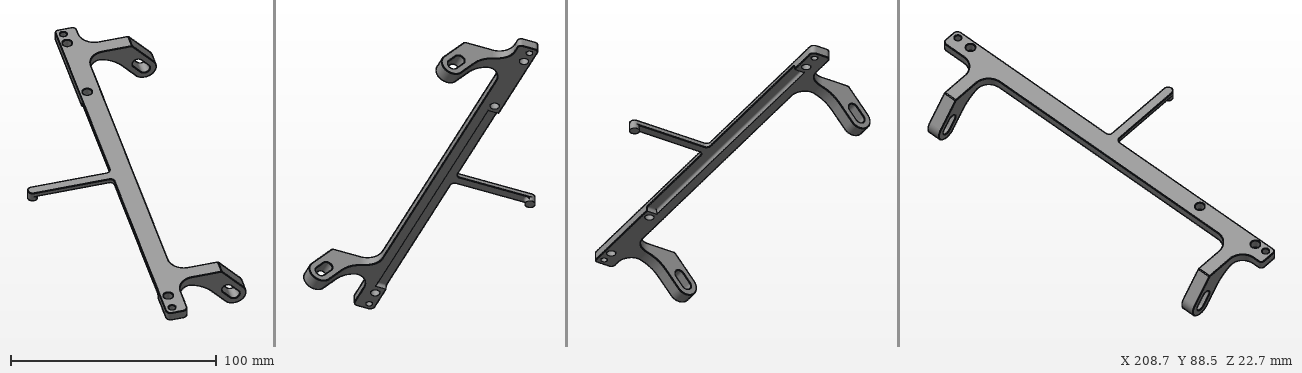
import cadquery as cq
import math

BAR_LENGTH = 208.7
BAR_DEPTH = 10.7
THICKNESS = 5.0
LEFT_CORNER_RADIUS = 2.0
RIGHT_CORNER_RADIUS = 2.5

STEM_X = 106.6
STEM_WIDTH = 5.0
STEM_REACH = 42.5
STEM_ROOT_RADIUS = 2.0

ARM_WIDTH = 7.5
ARM_CENTRES_X = (17.0, 183.0)
ARM_ROOT_RADIUS = 8.0
ARM_SLOPE = math.radians(50.0)
ARM_BACK_Y = 45.97
ARM_BOTTOM_Z = -17.69
ARM_TIP_RADIUS = 5.9
ARM_BEND_RADIUS = 20.0
SLOT_WIDTH = 5.0
SLOT_TRAVEL = 5.8

WEB_THICKNESS = 2.7
RELIEF_LEFT_X = 50.5
RELIEF_RIGHT_X = 191.7
REAR_RIB_DEPTH = 5.0
RELIEF_FILLET = 1.0

HOLES = (
    (3.7, 3.6, 3.2),
    (10.3, 3.7, 4.5),
    (46.3, 4.0, 4.5),
    (196.3, 4.0, 4.5),
    (204.9, 3.6, 3.2),
)

EDGE_BREAK = 0.35

TOLERANCE = 1e-3

RELIEF_HEIGHT = THICKNESS - WEB_THICKNESS
STEM_TIP_Y = STEM_WIDTH / 2 - STEM_REACH
TIP_Y = ARM_BACK_Y - ARM_TIP_RADIUS
TIP_Z = ARM_BOTTOM_Z + ARM_TIP_RADIUS


def box(x_min, x_max, y_min, y_max, z_min, z_max):
    """Axis-aligned block between two opposite corners."""
    size = (x_max - x_min, y_max - y_min, z_max - z_min)
    return cq.Workplane("XY").box(*size, centered=False).translate((x_min, y_min, z_min))


def make_bar():
    """Flat bar with rounded vertical corners."""
    bar = box(0, BAR_LENGTH, 0, BAR_DEPTH, 0, THICKNESS)
    bar = bar.edges("|Z and <X").fillet(LEFT_CORNER_RADIUS)
    return bar.edges("|Z and >X").fillet(RIGHT_CORNER_RADIUS)


def make_stem():
    """Narrow round-ended stem."""
    half_width = STEM_WIDTH / 2
    shank = box(STEM_X - half_width, STEM_X + half_width, STEM_TIP_Y, BAR_DEPTH / 2, 0, THICKNESS)
    tip = cq.Workplane("XY").center(STEM_X, STEM_TIP_Y).circle(half_width).extrude(THICKNESS)
    return shank.union(tip)


def make_stem_foot():
    """Round post under the stem tip, blended into the relief roof by a concave collar."""
    post_radius = STEM_WIDTH / 2
    collar_radius = post_radius + RELIEF_FILLET
    collar_base_z = RELIEF_HEIGHT - RELIEF_FILLET
    blend = RELIEF_FILLET * math.sqrt(0.5)
    collar = (
        cq.Workplane("XZ")
        .moveTo(0, collar_base_z)
        .lineTo(post_radius, collar_base_z)
        .threePointArc((collar_radius - blend, collar_base_z + blend), (collar_radius, RELIEF_HEIGHT))
        .lineTo(0, RELIEF_HEIGHT)
        .close()
        .revolve(360, (0, 0), (0, 1))
        .translate((STEM_X, STEM_TIP_Y, 0))
    )
    flat_half_width = post_radius - EDGE_BREAK
    collar = collar.intersect(
        box(
            STEM_X - flat_half_width,
            STEM_X + flat_half_width,
            STEM_TIP_Y,
            STEM_TIP_Y + collar_radius,
            collar_base_z,
            RELIEF_HEIGHT,
        )
    )
    post = cq.Workplane("XY").center(STEM_X, STEM_TIP_Y).circle(post_radius)
    return post.extrude(THICKNESS - EDGE_BREAK).union(collar)


def make_root_fillet(corner_x, corner_y, side_x, side_y, radius, bottom_z=0.0):
    """Concave fillet in an upright inside corner, on the side given by the two signs."""
    height = THICKNESS - bottom_z
    far_x = corner_x + side_x * radius
    far_y = corner_y + side_y * radius
    block = (
        cq.Workplane("XY")
        .moveTo(corner_x, corner_y)
        .lineTo(far_x, corner_y)
        .lineTo(far_x, far_y)
        .lineTo(corner_x, far_y)
        .close()
        .extrude(height)
    )
    fillet = block.cut(cq.Workplane("XY").center(far_x, far_y).circle(radius).extrude(height))
    return fillet.translate((0, 0, bottom_z))


def make_arm(centre_x):
    """Arm bent down towards the back, with a rounded tip and a slot along its slope."""
    along_y, along_z = math.cos(ARM_SLOPE), -math.sin(ARM_SLOPE)
    offset_y = ARM_TIP_RADIUS * math.sin(ARM_SLOPE)
    offset_z = ARM_TIP_RADIUS * math.cos(ARM_SLOPE)
    upper = (TIP_Y + offset_y, TIP_Z + offset_z)
    lower = (TIP_Y - offset_y, TIP_Z - offset_z)
    tip_end = (TIP_Y + ARM_TIP_RADIUS * along_y, TIP_Z + ARM_TIP_RADIUS * along_z)
    top_corner_y = upper[0] - (THICKNESS - upper[1]) / math.tan(ARM_SLOPE)

    under_corner_y = lower[0] + lower[1] / math.tan(ARM_SLOPE)
    tangent_length = ARM_BEND_RADIUS * math.tan(ARM_SLOPE / 2)
    bend_start_y = under_corner_y - tangent_length
    bend_end = (under_corner_y + tangent_length * along_y, tangent_length * along_z)
    bend_middle = (
        bend_start_y + ARM_BEND_RADIUS * math.sin(ARM_SLOPE / 2),
        ARM_BEND_RADIUS * (math.cos(ARM_SLOPE / 2) - 1),
    )
    root_y = BAR_DEPTH / 2
    half_width = ARM_WIDTH / 2
    half_root = half_width + ARM_ROOT_RADIUS
    profile = (
        cq.Workplane("YZ", origin=(centre_x - half_root, 0, 0))
        .moveTo(root_y, THICKNESS)
        .lineTo(top_corner_y, THICKNESS)
        .lineTo(*upper)
        .threePointArc(tip_end, lower)
        .lineTo(*bend_end)
        .threePointArc(bend_middle, (bend_start_y, 0))
        .lineTo(root_y, 0)
        .close()
        .extrude(2 * half_root)
    )

    plan = box(
        centre_x - half_width, centre_x + half_width, root_y, ARM_BACK_Y, ARM_BOTTOM_Z, THICKNESS
    )
    for side in (-1, 1):
        face_x = centre_x + side * half_width
        plan = plan.union(
            make_root_fillet(face_x, BAR_DEPTH, side, 1, ARM_ROOT_RADIUS, ARM_BOTTOM_Z)
        )
    slot = (
        cq.Workplane("YZ", origin=(centre_x - half_width, 0, 0))
        .center(TIP_Y - along_y * SLOT_TRAVEL / 2, TIP_Z - along_z * SLOT_TRAVEL / 2)
        .slot2D(SLOT_TRAVEL + SLOT_WIDTH, SLOT_WIDTH, -math.degrees(ARM_SLOPE))
        .extrude(ARM_WIDTH)
    )
    return profile.intersect(plan).cut(slot)


def make_relief():
    """Shallow pocket volume, open to the front, rounded between its roof and its walls."""
    front_y = STEM_TIP_Y - STEM_WIDTH
    rear_y = BAR_DEPTH - REAR_RIB_DEPTH
    relief = box(RELIEF_LEFT_X, RELIEF_RIGHT_X, front_y, rear_y, 0, RELIEF_HEIGHT)
    return relief.faces(">Z").edges("not <Y").fillet(RELIEF_FILLET)


def make_holes():
    """Cylinders for all vertical through holes."""
    holes = cq.Workplane("XY")
    for x, y, diameter in HOLES:
        holes = holes.union(cq.Workplane("XY").center(x, y).circle(diameter / 2).extrude(THICKNESS))
    return holes


def on_relief_rim(edge):
    """True for the outer rim of the relief along the bar front, the stem root, the stem and its tip."""
    bounds = edge.BoundingBox()
    within_x = bounds.xmin > RELIEF_LEFT_X - TOLERANCE and bounds.xmax < RELIEF_RIGHT_X + TOLERANCE
    in_front = bounds.ymax < TOLERANCE
    below_roof = bounds.zmax < RELIEF_HEIGHT + TOLERANCE
    return within_x and in_front and below_roof


def needs_break(edge):
    """True for edges of the top face, arm edges lying on a flank and the rim of the relief."""
    bounds = edge.BoundingBox()
    on_top = bounds.zmin > THICKNESS - TOLERANCE
    on_flank = bounds.ymin > BAR_DEPTH + ARM_ROOT_RADIUS - TOLERANCE and bounds.xlen < TOLERANCE
    upright = bounds.ylen < TOLERANCE and bounds.zlen > TOLERANCE
    return on_top or (on_flank and not upright) or on_relief_rim(edge)


body = make_bar().union(make_stem())
for arm_x in ARM_CENTRES_X:
    body = body.union(make_arm(arm_x))
for side in (-1, 1):
    stem_face_x = STEM_X + side * STEM_WIDTH / 2
    body = body.union(make_root_fillet(stem_face_x, 0, side, -1, STEM_ROOT_RADIUS))

body = body.cut(make_relief()).cut(make_holes())
broken_edges = [edge for edge in body.edges().vals() if needs_break(edge)]
body = body.newObject(broken_edges).chamfer(EDGE_BREAK)

result = body.union(make_stem_foot())